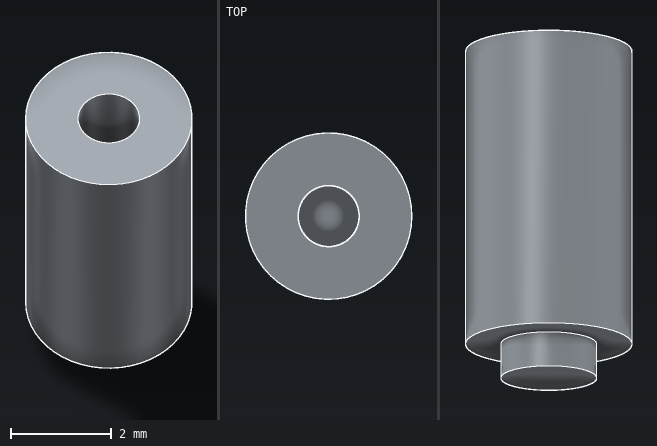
import cadquery as cq

total_height = 6.7
body_height = 6.0
body_diameter = 3.3
pin_diameter = 1.9
bore_diameter = 1.22
stem_diameter = 1.2

pin_height = total_height - body_height
stem_height = body_height / 2


def cylinder(diameter, bottom, height):
    """Solid cylinder on the Z axis, rising from the given height."""
    return cq.Workplane("XY").workplane(offset=bottom).circle(diameter / 2).extrude(height)


body = cylinder(body_diameter, pin_height, body_height)
bore = cylinder(bore_diameter, pin_height, body_height)
sleeve = body.cut(bore)

pin = cylinder(pin_diameter, 0, pin_height)
stem = cylinder(stem_diameter, pin_height, stem_height)

result = pin.union(sleeve).union(stem)